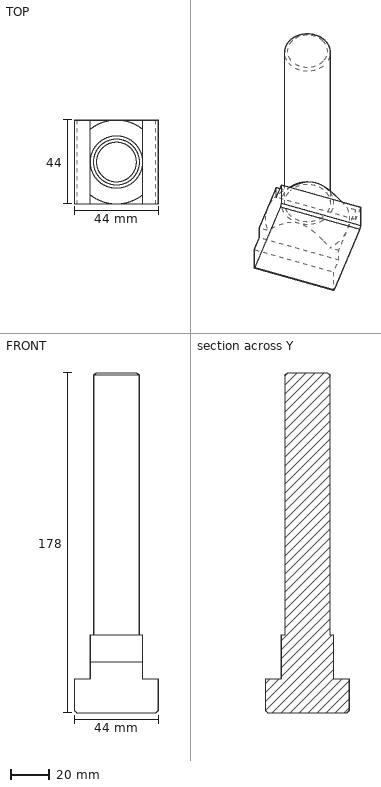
import cadquery as cq

total_height = 178.0
head_width = 44.0
head_height = 18.0
head_chamfer = 1.5
neck_width = 27.5
neck_top = 26.7
cone_top = 41.0
shank_diameter = 24.0
tip_inset = 1.6
tip_height = 1.0


def make_head():
    """Square head with its two lower long edges chamfered."""
    head = cq.Workplane("XY").box(head_width, head_width, head_height, centered=(True, True, False))
    return head.faces("<Z").edges("|Y").chamfer(head_chamfer)


def make_neck(top):
    """Slot-width block that runs the full depth of the head, from its top face."""
    block = cq.Workplane("XY").workplane(offset=head_height)
    return block.box(neck_width, head_width, top - head_height, centered=(True, True, False))


def make_cone():
    """Taper from the head width to the neck width, cut flat by the neck sides."""
    cone = (
        cq.Workplane("XY")
        .workplane(offset=neck_top)
        .circle(head_width / 2)
        .workplane(offset=cone_top - neck_top)
        .circle(neck_width / 2)
        .loft(ruled=True)
    )
    return cone.intersect(make_neck(cone_top))


def make_shank():
    """Round shank with a chamfered tip."""
    shank = (
        cq.Workplane("XY")
        .workplane(offset=neck_top)
        .circle(shank_diameter / 2)
        .extrude(total_height - neck_top)
    )
    return shank.faces(">Z").chamfer(tip_height, tip_inset)


result = make_head().union(make_neck(neck_top)).union(make_cone()).union(make_shank())